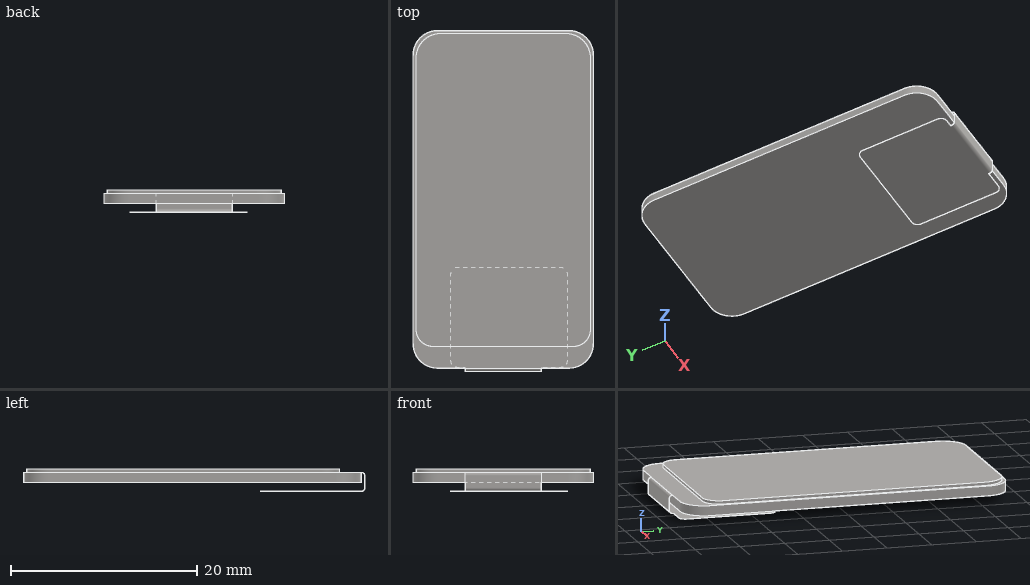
import cadquery as cq
import math

overall_width = 19.4
overall_length = 36.68
overall_height = 2.42

bend_radius = 0.35
body_length = overall_length - bend_radius
body_thickness = 1.1
body_corner_radius = 2.65

cover_thickness = 0.35
cover_side_margin = 0.33
cover_front_margin = 2.35
cover_back_radius = 2.6
cover_front_radius = 1.85

window_side_margin = 0.88
window_back_margin = 1.0
window_front_margin = 3.0
window_corner_radius = 2.27

cable_thickness = 0.03
cable_width = 8.18
tail_left = -5.65
tail_right = 6.9
tail_reach = 11.22
tail_setback = 0.1
tail_corner_radius = 0.75

body_front = -body_length / 2
body_back = body_length / 2
cable_front = body_front - bend_radius
tail_front = body_front + tail_setback
body_top = overall_height - cover_thickness
body_bottom = body_top - body_thickness


def rounded_plate(left, right, front, back, bottom, thickness, front_radius, back_radius):
    """Flat plate with separate radii for its front and back corners."""
    plate = (
        cq.Workplane("XY")
        .box(right - left, back - front, thickness, centered=False)
        .translate((left, front, bottom))
    )
    plate = plate.edges("|Z and <Y").fillet(front_radius)
    return plate.edges("|Z and >Y").fillet(back_radius)


def centred_plate(side_margin, front_margin, back_margin, bottom, thickness, front_radius, back_radius):
    """Rounded plate set in from the body outline by the given margins."""
    half_width = overall_width / 2 - side_margin
    return rounded_plate(
        -half_width, half_width,
        body_front + front_margin, body_back - back_margin,
        bottom, thickness, front_radius, back_radius,
    )


def cable_bend():
    """Thin strip from the top front edge of the body, down and round to the tail."""
    inner_radius = bend_radius - cable_thickness
    cable_inside = cable_front + cable_thickness
    upper_centre = body_top - bend_radius
    diagonal = math.sqrt(0.5)

    def arc_point(radius, centre_height, direction):
        """Midpoint of a quarter bend; direction is 1 for the upper bend and -1 for the lower."""
        return (body_front - radius * diagonal, centre_height + direction * radius * diagonal)

    return (
        cq.Workplane("YZ")
        .moveTo(body_front, body_top)
        .threePointArc(arc_point(bend_radius, upper_centre, 1), (cable_front, upper_centre))
        .lineTo(cable_front, bend_radius)
        .threePointArc(arc_point(bend_radius, bend_radius, -1), (body_front, 0))
        .lineTo(tail_front, 0)
        .lineTo(tail_front, cable_thickness)
        .lineTo(body_front, cable_thickness)
        .threePointArc(arc_point(inner_radius, bend_radius, -1), (cable_inside, bend_radius))
        .lineTo(cable_inside, upper_centre)
        .threePointArc(arc_point(inner_radius, upper_centre, 1), (body_front, body_top - cable_thickness))
        .close()
        .extrude(cable_width / 2, both=True)
    )


body = centred_plate(0, 0, 0, body_bottom, body_thickness, body_corner_radius, body_corner_radius)
cover = centred_plate(
    cover_side_margin, cover_front_margin, cover_side_margin,
    body_top, cover_thickness, cover_front_radius, cover_back_radius,
)
window = centred_plate(
    window_side_margin, window_front_margin, window_back_margin,
    body_top, cover_thickness, window_corner_radius, window_corner_radius,
)
tail = rounded_plate(
    tail_left, tail_right, tail_front, cable_front + tail_reach,
    0, cable_thickness, tail_corner_radius, tail_corner_radius,
)

glass = cover.cut(window).union(window, clean=False)
result = body.union(glass, clean=False).union(cable_bend(), clean=False).union(tail, clean=False)